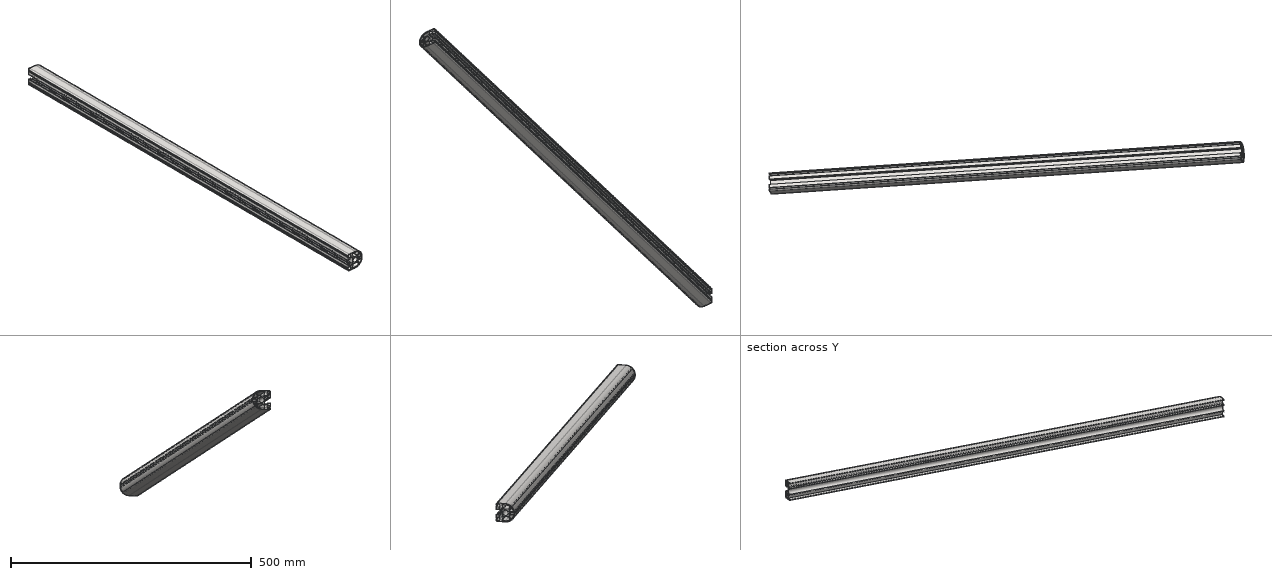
import cadquery as cq
import math

LENGTH = 1000.0
HALF_HEIGHT = 20.0
FRONT_Y = -20.0
BACK_Y = 19.5
CORNER_RADIUS = 3.0

MOUTH_HALF_HEIGHT = 5.7
LIP_BACK_Y = -14.3
LIP_GROOVE_Y = -17.3
LIP_GROOVE_DEPTH = 0.9
SLOT_HALF_HEIGHT = 9.5
SLOT_SHOULDER_Y = -8.1
SLOT_FLOOR_Y = -7.1
SLOT_FLOOR_HALF_HEIGHT = 6.5

CHANNEL_Y = -15.8
CHANNEL_Z = 14.6
CHANNEL_RADIUS = 3.7
CHANNEL_MOUTH = 3.4

BORE_RADIUS = 5.75

CHAMBER_OUTER_RADIUS = 17.3
CHAMBER_ARC_END_ANGLE = 53.5
CHAMBER_FRONT_TOP_Y = -7.7
CHAMBER_FRONT_FLOOR_Y = -5.1
CHAMBER_BACK_FLOOR_Y = 5.6
CHAMBER_FLOOR_Z = 8.2

SIDE_OUTER_RADIUS = 17.8
SIDE_ARC_START_ANGLE = 45.2
SIDE_FRONT_Y = 7.7
SIDE_TOP_Z = 7.3
SIDE_FLOOR_Z = 4.0

MIDDLE_FRONT_Y = 8.9
MIDDLE_BACK_Y = 18.1
MIDDLE_HEIGHT = 3.2


def on_circle(radius, angle):
    """Point (y, z) at an angle in degrees, measured from +Y, on a circle about the origin."""
    turn = math.radians(angle)
    return radius * math.cos(turn), radius * math.sin(turn)


def section(y=0.0, z=0.0):
    """Sketch on the profile plane, started at (y, z)."""
    return cq.Workplane("YZ").moveTo(y, z)


def with_mirror(solid):
    """The solid together with its mirror image below Z = 0."""
    return solid.union(solid.mirror("XY"))


def outer_body():
    body = (
        section(FRONT_Y, -HALF_HEIGHT)
        .lineTo(0, -HALF_HEIGHT)
        .threePointArc((BACK_Y, 0), (0, HALF_HEIGHT))
        .lineTo(FRONT_Y, HALF_HEIGHT)
        .close()
        .extrude(LENGTH)
    )
    return body.edges("|X and <Y").fillet(CORNER_RADIUS)


def t_slot():
    """Front slot with a shallow V groove along each lip and a floor with sloped shoulders."""
    upper_side = [
        (FRONT_Y, MOUTH_HALF_HEIGHT),
        (LIP_GROOVE_Y, MOUTH_HALF_HEIGHT + LIP_GROOVE_DEPTH),
        (LIP_BACK_Y, MOUTH_HALF_HEIGHT),
        (LIP_BACK_Y, SLOT_HALF_HEIGHT),
        (SLOT_SHOULDER_Y, SLOT_HALF_HEIGHT),
        (SLOT_FLOOR_Y, SLOT_FLOOR_HALF_HEIGHT),
    ]
    lower_side = [(y, -z) for y, z in reversed(upper_side)]
    return section().polyline(upper_side + lower_side).close().extrude(LENGTH)


def round_channels():
    channel = section(CHANNEL_Y, CHANNEL_Z).circle(CHANNEL_RADIUS).extrude(LENGTH)
    mouth_depth = CHANNEL_Y - FRONT_Y
    mouth = (
        section(FRONT_Y + mouth_depth / 2, CHANNEL_Z)
        .rect(mouth_depth, CHANNEL_MOUTH)
        .extrude(LENGTH)
    )
    return with_mirror(channel.union(mouth))


def bore():
    return section().circle(BORE_RADIUS).extrude(LENGTH)


def large_chambers():
    arc_middle_angle = (90 + CHAMBER_ARC_END_ANGLE) / 2
    chamber = (
        section(CHAMBER_FRONT_TOP_Y, CHAMBER_OUTER_RADIUS)
        .lineTo(0, CHAMBER_OUTER_RADIUS)
        .threePointArc(
            on_circle(CHAMBER_OUTER_RADIUS, arc_middle_angle),
            on_circle(CHAMBER_OUTER_RADIUS, CHAMBER_ARC_END_ANGLE),
        )
        .lineTo(CHAMBER_BACK_FLOOR_Y, CHAMBER_FLOOR_Z)
        .lineTo(CHAMBER_FRONT_FLOOR_Y, CHAMBER_FLOOR_Z)
        .close()
        .extrude(LENGTH)
    )
    return with_mirror(chamber)


def side_chambers():
    arc_end_angle = math.degrees(math.asin(SIDE_FLOOR_Z / SIDE_OUTER_RADIUS))
    arc_middle_angle = (SIDE_ARC_START_ANGLE + arc_end_angle) / 2
    chamber = (
        section(SIDE_FRONT_Y, SIDE_FLOOR_Z)
        .lineTo(SIDE_FRONT_Y, SIDE_TOP_Z)
        .lineTo(*on_circle(SIDE_OUTER_RADIUS, SIDE_ARC_START_ANGLE))
        .threePointArc(
            on_circle(SIDE_OUTER_RADIUS, arc_middle_angle),
            on_circle(SIDE_OUTER_RADIUS, arc_end_angle),
        )
        .close()
        .extrude(LENGTH)
    )
    return with_mirror(chamber)


def middle_chamber():
    return (
        section((MIDDLE_FRONT_Y + MIDDLE_BACK_Y) / 2, 0)
        .rect(MIDDLE_BACK_Y - MIDDLE_FRONT_Y, MIDDLE_HEIGHT)
        .extrude(LENGTH)
    )


result = outer_body()
for cavity in (
    t_slot(),
    round_channels(),
    bore(),
    large_chambers(),
    side_chambers(),
    middle_chamber(),
):
    result = result.cut(cavity)